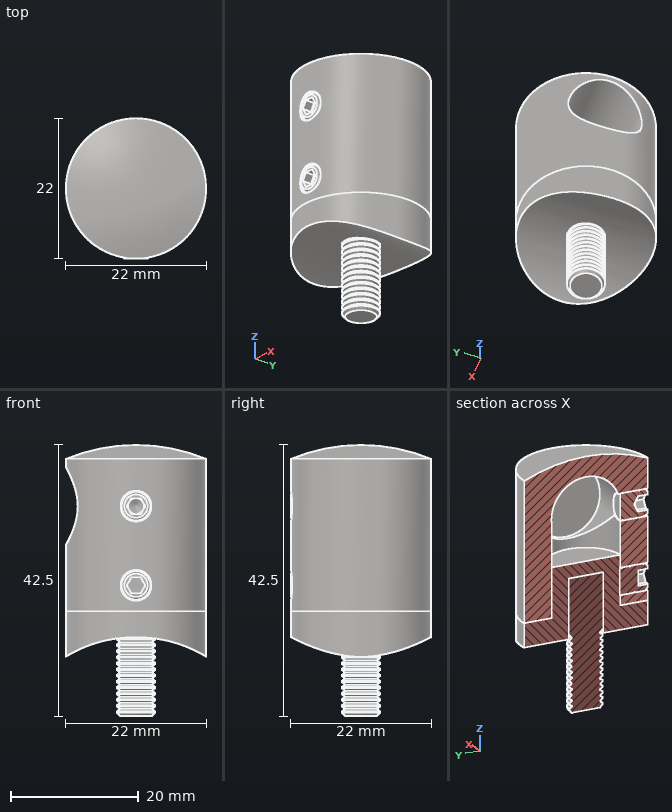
import cadquery as cq
import math

BODY_DIA = 22.0
BODY_RADIUS = BODY_DIA / 2
TOTAL_HEIGHT = 42.45
HOUSING_BOTTOM = 16.43
DOME_BASE = 40.25
DOME_RISE = TOTAL_HEIGHT - DOME_BASE
DOME_RADIUS = (BODY_RADIUS**2 + DOME_RISE**2) / (2 * DOME_RISE)

BORE_DIA = 12.2
BORE_Z = 32.85
BORE_END_X = 6.8

TUBE_DIA = 42.45
SADDLE_APEX = 12.35
SPIGOT_DIA = 12.0
SPIGOT_TOP = 24.95

STUD_DIA = 6.0
THREAD_ROOT_DIA = 5.0
STUD_TOP = 22.5
FIRST_CREST = 0.65
LAST_CREST = 12.05
CREST_COUNT = 13
CREST_WIDTH = 0.2
PITCH = (LAST_CREST - FIRST_CREST) / (CREST_COUNT - 1)

SCREW_DIA = 4.5
SCREW_FACE_DIA = 3.65
SCREW_CHAMFER = (SCREW_DIA - SCREW_FACE_DIA) / 2
SCREW_HOLE_CHAMFER = 0.15
SCREW_LENGTH = BODY_RADIUS - SPIGOT_DIA / 2
SCREW_SPACING = 12.4
UPPER_SCREW_Z = BORE_Z
LOWER_SCREW_Z = UPPER_SCREW_Z - SCREW_SPACING
SOCKET_FLATS = 2.5
SOCKET_DEPTH = 1.7
SOCKET_TURN = 30.0
DRILL_POINT_ANGLE = 120.0


def upright_cylinder(diameter, bottom, top):
    return cq.Workplane("XY", origin=(0, 0, bottom)).circle(diameter / 2).extrude(top - bottom)


def cylinder_along_y(diameter, length, z):
    """Cylinder that starts at the -Y side of the housing and runs toward +Y."""
    return cq.Workplane("XZ", origin=(0, -BODY_RADIUS, z)).circle(diameter / 2).extrude(-length)


def make_housing():
    cylinder = upright_cylinder(BODY_DIA, HOUSING_BOTTOM, TOTAL_HEIGHT)
    dome = cq.Workplane("XY").sphere(DOME_RADIUS).translate((0, 0, TOTAL_HEIGHT - DOME_RADIUS))
    bore = (
        cq.Workplane("YZ", origin=(BORE_END_X, 0, BORE_Z))
        .circle(BORE_DIA / 2)
        .extrude(-BODY_DIA)
    )
    upright_hole = upright_cylinder(SPIGOT_DIA, HOUSING_BOTTOM, BORE_Z)
    housing = cylinder.intersect(dome).cut(bore).cut(upright_hole)
    for z in (UPPER_SCREW_Z, LOWER_SCREW_Z):
        housing = housing.cut(cylinder_along_y(SCREW_DIA, BODY_RADIUS, z))
        hole_mouth_box = cq.selectors.BoxSelector(
            (-SCREW_DIA, -BODY_DIA, z - SCREW_DIA),
            (SCREW_DIA, -BODY_RADIUS + SCREW_HOLE_CHAMFER, z + SCREW_DIA),
        )
        housing = housing.edges(hole_mouth_box).chamfer(SCREW_HOLE_CHAMFER)
    return housing


def make_saddle():
    block = upright_cylinder(BODY_DIA, 0, HOUSING_BOTTOM)
    tube = (
        cq.Workplane("XZ", origin=(0, 0, SADDLE_APEX - TUBE_DIA / 2))
        .circle(TUBE_DIA / 2)
        .extrude(BODY_RADIUS, both=True)
    )
    spigot = upright_cylinder(SPIGOT_DIA, HOUSING_BOTTOM, SPIGOT_TOP)
    stud_hole = upright_cylinder(STUD_DIA, 0, STUD_TOP)
    return block.cut(tube).union(spigot).cut(stud_hole)


def make_stud():
    root_radius = THREAD_ROOT_DIA / 2
    crest_radius = STUD_DIA / 2
    outline = [(0, 0), (root_radius, 0)]
    for i in range(CREST_COUNT):
        crest_z = FIRST_CREST + i * PITCH
        outline.append((crest_radius, crest_z - CREST_WIDTH / 2))
        outline.append((crest_radius, crest_z + CREST_WIDTH / 2))
        outline.append((root_radius, crest_z + PITCH / 2))
    shank_start = LAST_CREST + PITCH
    outline += [(crest_radius, shank_start), (crest_radius, STUD_TOP), (0, STUD_TOP)]
    return cq.Workplane("XZ").polyline(outline).close().revolve(360, (0, 0, 0), (0, 1, 0))


def make_set_screw(z, drilled):
    """Set screw with a hexagon socket, which ends in a drill point when drilled."""
    screw = cylinder_along_y(SCREW_DIA, SCREW_LENGTH, z).faces("<Y").chamfer(SCREW_CHAMFER)
    socket = (
        cq.Workplane("XZ", origin=(0, -BODY_RADIUS, z))
        .transformed(rotate=(0, 0, SOCKET_TURN))
        .polygon(6, SOCKET_FLATS, circumscribed=True)
        .extrude(-SOCKET_DEPTH)
    )
    screw = screw.cut(socket)
    if drilled:
        point_radius = SOCKET_FLATS / 2
        point_depth = point_radius / math.tan(math.radians(DRILL_POINT_ANGLE / 2))
        point = cq.Solid.makeCone(
            point_radius,
            0,
            point_depth,
            pnt=cq.Vector(0, SOCKET_DEPTH - BODY_RADIUS, z),
            dir=cq.Vector(0, 1, 0),
        )
        screw = screw.cut(cq.Workplane(obj=point))
    return screw


housing = make_housing()
saddle = make_saddle()
stud = make_stud()
upper_screw = make_set_screw(UPPER_SCREW_Z, drilled=True)
lower_screw = make_set_screw(LOWER_SCREW_Z, drilled=False)

result = cq.Compound.makeCompound(
    [housing.val(), saddle.val(), stud.val(), upper_screw.val(), lower_screw.val()]
)